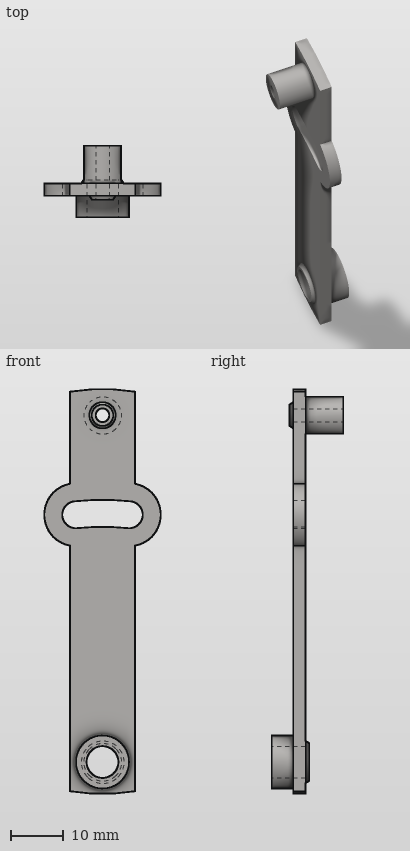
import cadquery as cq
import math

length = 76.45
width = 12.3
thickness = 2.4
end_radius = length / 2

pivot_z = 6.05
pivot_bore = 6.0
pivot_boss_diameter = 10.0
pivot_boss_length = 4.05
pivot_collar_diameter = 8.0

pin_z = 71.5
pin_bore = 2.5
pin_diameter = 7.0
pin_length = 7.1
pin_collar_diameter = 5.0

collar_height = 0.7
collar_inset = 0.45

slot_path_radius = 46.9
slot_half_width = 2.5
slot_span = 15.1
rim_span = 22.0
rim_half_width = slot_half_width + (rim_span - slot_span) / 2


def cylinder(diameter, z, y_start, y_end):
    """Cylinder along Y between two Y positions."""
    plane = cq.Workplane("XZ", origin=(0, y_start, z))
    return plane.circle(diameter / 2).extrude(y_start - y_end)


def collar(diameter, z, y_start, y_end):
    """Tapered collar along Y, narrowing from y_start to y_end."""
    height = abs(y_end - y_start)
    base_radius = diameter / 2
    start = cq.Vector(0, y_start, z)
    direction = cq.Vector(0, y_end - y_start, 0)
    tip_radius = base_radius - collar_inset
    cone = cq.Solid.makeCone(base_radius, tip_radius, height, start, direction)
    return cq.Workplane(cone)


def curved_slot(half_width):
    """Plate-thick round-ended band that follows an arc about the pivot."""
    half_angle = math.asin((slot_span / 2 - slot_half_width) / slot_path_radius)

    def point(radius, angle):
        return (radius * math.sin(angle), pivot_z + radius * math.cos(angle))

    inner = slot_path_radius - half_width
    outer = slot_path_radius + half_width
    end_x, end_z = point(slot_path_radius, half_angle)
    cap_x = end_x + half_width * math.cos(half_angle)
    cap_z = end_z - half_width * math.sin(half_angle)
    return (
        cq.Workplane("XZ")
        .moveTo(*point(outer, -half_angle))
        .threePointArc(point(outer, 0), point(outer, half_angle))
        .threePointArc((cap_x, cap_z), point(inner, half_angle))
        .threePointArc(point(inner, 0), point(inner, -half_angle))
        .threePointArc((-cap_x, cap_z), point(outer, -half_angle))
        .close()
        .extrude(-thickness)
    )


def bar():
    """Straight bar whose two ends lie on one circle about its middle."""
    half_width = width / 2
    end_rise = end_radius - math.sqrt(end_radius**2 - half_width**2)
    return (
        cq.Workplane("XZ")
        .moveTo(-half_width, end_rise)
        .threePointArc((0, 0), (half_width, end_rise))
        .lineTo(half_width, length - end_rise)
        .threePointArc((0, length), (-half_width, length - end_rise))
        .close()
        .extrude(-thickness)
    )


plate = bar().union(curved_slot(rim_half_width)).cut(curved_slot(slot_half_width))

pivot_front = -pivot_boss_length
pivot_back = thickness + collar_height
pin_front = -collar_height
pin_back = thickness + pin_length

result = (
    plate
    .union(cylinder(pivot_boss_diameter, pivot_z, 0, pivot_front))
    .union(collar(pivot_collar_diameter, pivot_z, thickness, pivot_back))
    .union(cylinder(pin_diameter, pin_z, thickness, pin_back))
    .union(collar(pin_collar_diameter, pin_z, 0, pin_front))
    .cut(cylinder(pivot_bore, pivot_z, pivot_front, pivot_back))
    .cut(cylinder(pin_bore, pin_z, pin_front, pin_back))
)